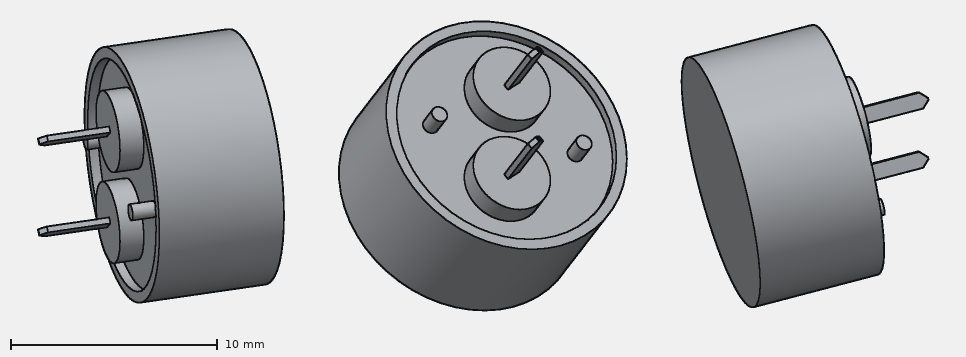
import cadquery as cq

body_diameter = 12.5
body_length = 6.3
recess_diameter = 11.4
recess_depth = 0.5

standoff = 0.7
boss_diameter = 4.0
boss_spacing = 5.0
peg_diameter = 0.8
peg_spacing = 7.5

pin_length = 3.5
pin_width = 0.8
pin_thickness = 0.3
pin_angle = 42.0
tip_length = 0.35
tip_width = 0.1

floor_offset = -recess_depth
pin_end = standoff + pin_length


def cylinder(x, z, diameter, start, end):
    """Cylinder along Y between two distances in front of the rim."""
    return (
        cq.Workplane("XZ", origin=(x, -start, z))
        .circle(diameter / 2)
        .extrude(end - start)
    )


def contact_pin(z):
    """Flat pin from the boss face, narrowing to a blunt tip."""
    half_width = pin_width / 2
    half_tip = tip_width / 2
    shoulder = pin_end - tip_length
    outline = [
        (-half_width, -standoff),
        (half_width, -standoff),
        (half_width, -shoulder),
        (half_tip, -pin_end),
        (-half_tip, -pin_end),
        (-half_width, -shoulder),
    ]
    return (
        cq.Workplane("XY")
        .polyline(outline)
        .close()
        .extrude(pin_thickness / 2, both=True)
        .rotate((0, 0, 0), (0, 1, 0), -pin_angle)
        .translate((0, 0, z))
    )


result = cylinder(0, 0, body_diameter, -body_length, 0)
result = result.cut(cylinder(0, 0, recess_diameter, floor_offset, 0))

for side in (-1, 1):
    boss_z = side * boss_spacing / 2
    peg_x = side * peg_spacing / 2
    result = result.union(cylinder(0, boss_z, boss_diameter, floor_offset, standoff))
    result = result.union(cylinder(peg_x, 0, peg_diameter, floor_offset, standoff))
    result = result.union(contact_pin(boss_z))